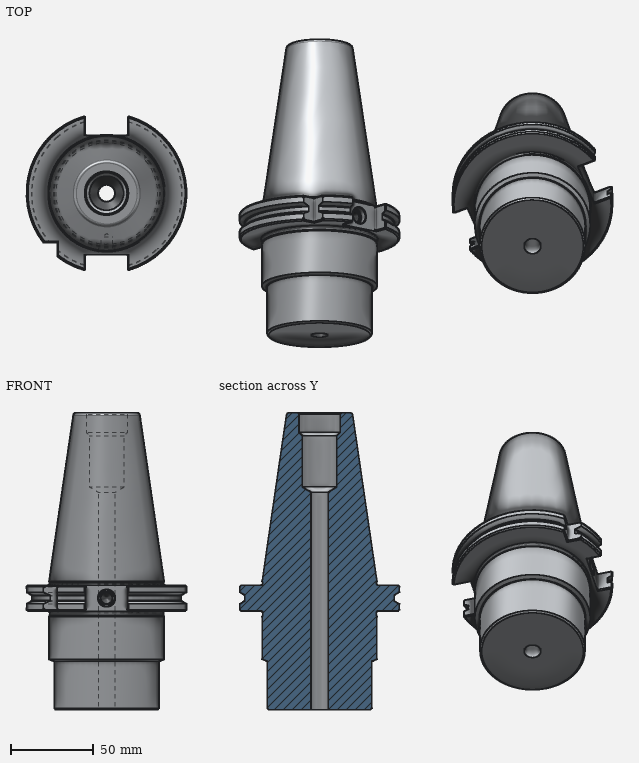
import cadquery as cq
import math

total_height = 180.6

nose_radius = 32.0
nose_chamfer = 1.0
nose_top_z = 29.6
shoulder_inner_radius = 32.5
body_radius = 35.0
body_bottom_z = 30.7
body_top_z = 56.7

neck_radius = 34.7
neck_bevel_height = 0.9
neck_fillet = 0.9

flange_radius = 97.3 / 2
flange_bottom_z = 60.0
flange_thickness = 15.9
flange_chamfer = 0.9
flange_top_z = flange_bottom_z + flange_thickness
flange_mid_z = flange_bottom_z + flange_thickness / 2

groove_root_radius = 45.5
groove_mouth_width = 7.0
groove_half_angle = 30.0
groove_root_fillet = 0.5

slot_width = 25.6
wall_chamfer = 0.7
inner_corner_fillet = 0.5
front_slot_floor = 37.4
rear_slot_floor = 35.2
notch_corner = 30.0

edge_tolerance = 0.02

taper_base_radius = 35.0
taper_base_z = flange_top_z + 2.2
taper_ratio = 7 / 24
taper_top_radius = taper_base_radius - (total_height - taper_base_z) * taper_ratio / 2
taper_tip_fillet = 1.8

bore_mouth_chamfer = 0.9
pilot_radius = 25.0 / 2
pilot_depth = 12.0
thread_radius = 20.8 / 2
thread_depth = 45.2
through_radius = 10.1 / 2
drill_half_angle = 59.0

counterbore_radius = 10.0 / 2
counterbore_depth = 4.2
hole_edge_chamfer = 0.4
radial_radius = 7.0 / 2
radial_depth = 10.8


def shank_body():
    """Solid of revolution from the nose to the taper tip, only neck-wide inside the flange."""
    fillet_radius = neck_radius + neck_fillet
    body = (
        cq.Workplane("XZ")
        .lineTo(nose_radius - nose_chamfer, 0)
        .lineTo(nose_radius, nose_chamfer)
        .lineTo(nose_radius, nose_top_z)
        .lineTo(shoulder_inner_radius, nose_top_z)
        .lineTo(body_radius, body_bottom_z)
        .lineTo(body_radius, body_top_z)
        .lineTo(neck_radius, body_top_z + neck_bevel_height)
        .lineTo(neck_radius, flange_bottom_z - neck_fillet)
        .radiusArc((fillet_radius, flange_bottom_z), neck_fillet)
        .lineTo(neck_radius, flange_bottom_z)
        .lineTo(neck_radius, flange_top_z)
        .lineTo(fillet_radius, flange_top_z)
        .radiusArc((neck_radius, flange_top_z + neck_fillet), neck_fillet)
        .lineTo(neck_radius, taper_base_z - neck_bevel_height)
        .lineTo(taper_base_radius, taper_base_z)
        .lineTo(taper_top_radius, total_height)
        .lineTo(0, total_height)
        .close()
        .revolve(360, (0, 0), (0, 1))
    )
    return body.faces(">Z").edges().fillet(taper_tip_fillet)


def edge_cutter(x_min, x_max, y_min, y_max):
    """Block through the flange thickness."""
    return (
        cq.Workplane("XY", origin=(0, 0, flange_bottom_z))
        .center((x_min + x_max) / 2, (y_min + y_max) / 2)
        .rect(x_max - x_min, y_max - y_min)
        .extrude(flange_thickness)
    )


def on_notch_wall(edge):
    """True for edges bounding the slot walls and for the top and bottom edges of the notch walls."""
    half_slot = slot_width / 2
    middle = edge.Center()
    x, y = middle.x, middle.y
    on_slot_wall = abs(abs(x) - half_slot) < edge_tolerance
    beyond_floor = y > rear_slot_floor + edge_tolerance or y < -front_slot_floor - edge_tolerance
    on_notch_x_wall = abs(x + notch_corner) < edge_tolerance and y < -notch_corner - edge_tolerance
    on_notch_y_wall = abs(y + notch_corner) < edge_tolerance and x < -notch_corner - edge_tolerance
    on_face = abs(middle.z - flange_mid_z) > edge_tolerance
    return (on_slot_wall and beyond_floor) or (on_face and (on_notch_x_wall or on_notch_y_wall))


def at_inner_corner(edge):
    """True for the upright edges where two walls of a slot or of the notch meet."""
    middle = edge.Center().toTuple()[:2]
    corners = [(-notch_corner, -notch_corner)]
    for side in (-1, 1):
        for floor in (-front_slot_floor, rear_slot_floor):
            corners.append((side * slot_width / 2, floor))
    return any(math.dist(middle, corner) < edge_tolerance for corner in corners)


def flange():
    """Notched disc with bevelled edges and a V groove around its rim."""
    half_slot = slot_width / 2
    reach = 2 * flange_radius
    disc = cq.Workplane("XY", origin=(0, 0, flange_bottom_z)).circle(flange_radius).extrude(flange_thickness)
    disc = disc.faces("<Z or >Z").edges().chamfer(flange_chamfer)
    disc = disc.cut(edge_cutter(-reach, -notch_corner, -reach, -notch_corner))
    disc = disc.cut(edge_cutter(-half_slot, half_slot, -reach, -front_slot_floor))
    disc = disc.cut(edge_cutter(-half_slot, half_slot, rear_slot_floor, reach))
    disc = disc.edges().filter(on_notch_wall).chamfer(wall_chamfer)
    disc = disc.edges("|Z").filter(at_inner_corner).fillet(inner_corner_fillet)

    mouth = groove_mouth_width / 2
    root = mouth - (flange_radius - groove_root_radius) * math.tan(math.radians(groove_half_angle))
    groove = (
        cq.Workplane("XZ")
        .polyline([
            (flange_radius, flange_mid_z - mouth),
            (groove_root_radius, flange_mid_z - root),
            (groove_root_radius, flange_mid_z + root),
            (flange_radius, flange_mid_z + mouth),
        ])
        .close()
        .revolve(360, (0, 0), (0, 1))
    )
    groove = groove.edges(cq.selectors.RadiusNthSelector(0)).fillet(groove_root_fillet)
    return disc.cut(groove)


def axial_bore():
    """Stepped bore down from the taper tip, ending in a hole through the nose."""
    pilot_z = total_height - pilot_depth
    thread_z = total_height - thread_depth
    cone_height = (thread_radius - through_radius) / math.tan(math.radians(drill_half_angle))
    outline = [
        (0, 0),
        (through_radius, 0),
        (through_radius, thread_z - cone_height),
        (thread_radius, thread_z),
        (thread_radius, pilot_z - (pilot_radius - thread_radius)),
        (pilot_radius, pilot_z),
        (pilot_radius, total_height - bore_mouth_chamfer),
        (pilot_radius + bore_mouth_chamfer, total_height),
        (0, total_height),
    ]
    return cq.Workplane("XZ").polyline(outline).close().revolve(360, (0, 0), (0, 1))


def radial_hole():
    """Blind counterbored hole running inward from the front slot floor."""
    mouth_y = -front_slot_floor
    seat_y = mouth_y + counterbore_depth
    bottom_y = mouth_y + radial_depth
    tip = radial_radius / math.tan(math.radians(drill_half_angle))
    outline = [
        (0, mouth_y),
        (counterbore_radius + hole_edge_chamfer, mouth_y),
        (counterbore_radius, mouth_y + hole_edge_chamfer),
        (counterbore_radius, seat_y),
        (radial_radius + hole_edge_chamfer, seat_y),
        (radial_radius, seat_y + hole_edge_chamfer),
        (radial_radius, bottom_y),
        (0, bottom_y + tip),
    ]
    return (
        cq.Workplane("XY", origin=(0, 0, flange_mid_z))
        .polyline(outline)
        .close()
        .revolve(360, (0, 0), (0, 1))
    )


result = shank_body().union(flange()).cut(axial_bore()).cut(radial_hole())